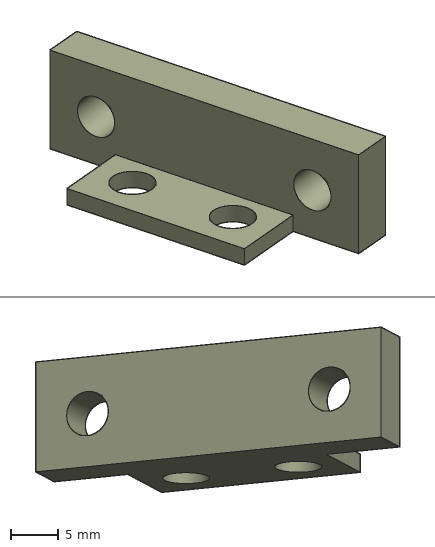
import cadquery as cq

plate_length = 40.0
plate_thickness = 5.0
plate_height = 12.0
plate_hole_diameter = 4.8
plate_hole_spacing = 28.0
plate_hole_height = 5.8

tab_length = 23.0
tab_depth = 9.0
tab_thickness = 2.0
tab_hole_diameter = 5.0
tab_hole_spacing = 13.0
tab_hole_edge_distance = 5.0


def upright_plate():
    """Plate with its front face on Y = 0 and two holes through its thickness."""
    plate = cq.Workplane("XY").box(
        plate_length, plate_thickness, plate_height, centered=(True, False, False)
    )
    holes = (
        cq.Workplane("XZ")
        .pushPoints([(side * plate_hole_spacing / 2, plate_hole_height) for side in (-1, 1)])
        .circle(plate_hole_diameter / 2)
        .extrude(-plate_thickness)
    )
    return plate.cut(holes)


def foot_tab():
    """Thin tab in front of the plate with two vertical through holes."""
    tab = (
        cq.Workplane("XY")
        .box(tab_length, tab_depth, tab_thickness, centered=(True, False, False))
        .translate((0, -tab_depth, 0))
    )
    hole_y = tab_hole_edge_distance - tab_depth
    holes = (
        cq.Workplane("XY")
        .pushPoints([(side * tab_hole_spacing / 2, hole_y) for side in (-1, 1)])
        .circle(tab_hole_diameter / 2)
        .extrude(tab_thickness)
    )
    return tab.cut(holes)


result = upright_plate().union(foot_tab())